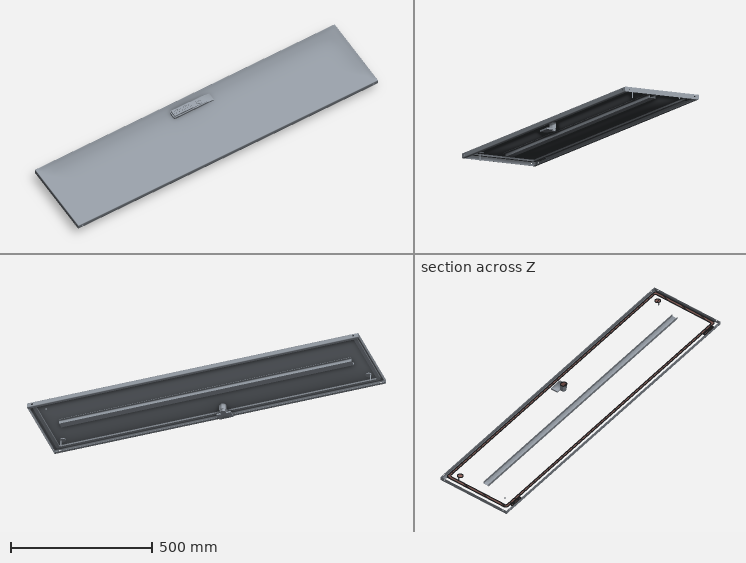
import cadquery as cq
import math


door_width = 295.0
door_length = 1246.0
door_depth = 18.0
sheet = 1.0
bend_radius = 2.5
return_width = 11.0
underside = -sheet

wall_hole_z = -8.5
end_wall_hole_diameter = 5.0
end_wall_hole_inset = 17.0
long_wall_hole_diameter = 7.5
long_wall_hole_inset = 18.9

stiffener_length = 1100.0
stiffener_flange_centre = 16.0
stiffener_flange_width = 10.0
stiffener_depth = 12.0
stiffener_bend_radius = 2.0

lock_x = -97.0
lock_y = 27.5
shank_diameter = 22.0

guide_stud_diameter = 5.0
guide_stud_y = 582.0
guide_stud_end_z = -30.0
guide_collar_diameter = 22.0
guide_collar_y = 575.0
guide_collar_end_z = -5.0
earth_stud_diameter = 4.0
earth_stud_length = 10.0
earth_stud_x = 98.5
earth_stud_y = -568.0

hinge_pad_x = 141.0
hinge_pad_y = 561.0
hinge_pad_width = 7.0
hinge_pad_length = 55.0
hinge_pad_thickness = 5.0

gasket_inset = 13.0
gasket_side_width = 10.0
gasket_end_width = 13.0
gasket_thickness = 6.0
gasket_outer_radius = 10.0
gasket_inner_radius = 5.0

overall_height = 45.51
handle_height = 13.7
lock_bottom_z = handle_height - overall_height
base_width = 33.0
base_top_y = 80.7
base_bottom_y = -84.0
base_height = 7.5
base_tip_height = 2.0
base_crest_y = 66.0
base_crest_height = 5.2
base_corner_chamfer = 3.0
lever_width = 27.0
lever_top_y = 50.5
lever_bottom_y = -80.0
lever_front_height = 8.3
lever_step_height = 11.5
lever_grip_y = -4.0
cylinder_diameter = 22.0
cylinder_height = 11.5
key_slot_width = 4.0
key_slot_length = 14.0
key_slot_depth = 2.0
rib_pitch = 5.0
rib_groove_width = 2.0
rib_groove_depth = 1.0
rib_zone_width = 16.0
rib_count = 15
lock_flange_diameter = 27.0
lock_flange_end_z = -21.5
lock_body_diameter = 25.0
hub_diameter = 23.0
cam_thickness = 6.0
cam_left_x = -133.0
cam_right_x = -104.0
cam_length = 52.5


def tray():
    """Sheet tray with rounded folds along the top rim and inward returns on the long sides."""
    middle_z = -door_depth / 2
    outer = cq.Workplane("XY").box(door_width, door_length, door_depth).translate((0, 0, middle_z))
    outer = outer.faces(">Z").edges().fillet(bend_radius)
    outer = outer.faces("<Z").edges("|Y").fillet(bend_radius)

    inner_width = door_width - 2 * sheet
    inner_length = door_length - 2 * sheet
    inner_radius = bend_radius - sheet
    cavity_depth = door_depth - 2 * sheet
    cavity = cq.Workplane("XY").box(inner_width, inner_length, cavity_depth).translate((0, 0, middle_z))
    cavity = cavity.faces(">Z").edges().fillet(inner_radius)
    cavity = cavity.faces("<Z").edges("|Y").fillet(inner_radius)

    mouth_width = door_width - 2 * return_width
    mouth = cq.Workplane("XY").box(mouth_width, inner_length, door_depth)
    mouth = mouth.translate((0, 0, underside - door_depth / 2))
    return outer.cut(cavity).cut(mouth)


def wall_holes():
    """Cutters for the round holes through all four walls, near each corner."""
    hole_x = door_width / 2 - end_wall_hole_inset
    hole_y = door_length / 2 - long_wall_hole_inset
    through_ends = (
        cq.Workplane("XZ")
        .pushPoints([(-hole_x, wall_hole_z), (hole_x, wall_hole_z)])
        .circle(end_wall_hole_diameter / 2)
        .extrude(door_length, both=True)
    )
    through_sides = (
        cq.Workplane("YZ")
        .pushPoints([(-hole_y, wall_hole_z), (hole_y, wall_hole_z)])
        .circle(long_wall_hole_diameter / 2)
        .extrude(door_width, both=True)
    )
    return through_ends.union(through_sides)


def stiffener():
    """Hat profile along Y with its two flanges flat against the underside of the leaf."""
    outer_x = stiffener_flange_centre + stiffener_flange_width / 2
    inner_wall_x = stiffener_flange_centre - stiffener_flange_width / 2
    outer_wall_x = inner_wall_x + sheet
    flange_z = underside - sheet
    crown_z = underside - stiffener_depth
    bend_x = outer_wall_x + stiffener_bend_radius
    bend_z = flange_z - stiffener_bend_radius
    bend_reach = stiffener_bend_radius * math.sqrt(0.5)
    bend_middle_x = bend_x - bend_reach
    bend_middle_z = bend_z + bend_reach
    profile = (
        cq.Workplane("XZ")
        .moveTo(-outer_x, underside)
        .lineTo(-inner_wall_x, underside)
        .lineTo(-inner_wall_x, crown_z + sheet)
        .lineTo(inner_wall_x, crown_z + sheet)
        .lineTo(inner_wall_x, underside)
        .lineTo(outer_x, underside)
        .lineTo(outer_x, flange_z)
        .lineTo(bend_x, flange_z)
        .threePointArc((bend_middle_x, bend_middle_z), (outer_wall_x, bend_z))
        .lineTo(outer_wall_x, crown_z)
        .lineTo(-outer_wall_x, crown_z)
        .lineTo(-outer_wall_x, bend_z)
        .threePointArc((-bend_middle_x, bend_middle_z), (-bend_x, flange_z))
        .lineTo(-outer_x, flange_z)
        .close()
    )
    return profile.extrude(stiffener_length / 2, both=True)


def stud(x, y, diameter, end_z):
    """Round stud hanging from the underside of the leaf down to end_z."""
    start = cq.Workplane("XY", origin=(x, y, underside))
    return start.circle(diameter / 2).extrude(end_z - underside)


def hinge_pad(y):
    pad = cq.Workplane("XY").box(hinge_pad_width, hinge_pad_length, hinge_pad_thickness)
    return pad.translate((hinge_pad_x, y, underside - hinge_pad_thickness / 2))


def lock_shank(length):
    """Round shank of the lock, starting at the outer face and running down."""
    return cq.Workplane("XY", origin=(lock_x, lock_y, 0)).circle(shank_diameter / 2).extrude(-length)


def build_door():
    door = tray().cut(wall_holes()).union(stiffener())
    for side in (-1, 1):
        door = door.union(stud(lock_x, side * guide_stud_y, guide_stud_diameter, guide_stud_end_z))
        door = door.union(stud(lock_x, side * guide_collar_y, guide_collar_diameter, guide_collar_end_z))
        door = door.union(hinge_pad(side * hinge_pad_y))
    earth_end_z = underside - earth_stud_length
    door = door.union(stud(earth_stud_x, earth_stud_y, earth_stud_diameter, earth_end_z))
    return door.cut(lock_shank(sheet))


def build_gasket():
    """Closed rectangular sealing strip against the underside of the leaf."""

    def block(side_inset, end_inset, radius):
        width = door_width - 2 * side_inset
        length = door_length - 2 * end_inset
        rectangle = cq.Workplane("XY", origin=(0, 0, underside)).rect(width, length)
        return rectangle.extrude(-gasket_thickness).edges("|Z").fillet(radius)

    outer = block(gasket_inset, gasket_inset, gasket_outer_radius)
    inner = block(gasket_inset + gasket_side_width, gasket_inset + gasket_end_width, gasket_inner_radius)
    return outer.cut(inner)


def lock_side_plane():
    """Workplane for (Y, Z) outlines, on the middle plane of the lock."""
    return cq.Workplane("YZ", origin=(lock_x, 0, 0))


def handle_base():
    """Base plate whose +Y end rises in an arc from a low tip up to the lever."""
    outline = (
        lock_side_plane()
        .moveTo(base_bottom_y, 0)
        .lineTo(base_top_y, 0)
        .lineTo(base_top_y, base_tip_height)
        .threePointArc((base_crest_y, base_crest_height), (lever_top_y, base_height))
        .lineTo(base_bottom_y, base_height)
        .close()
    )
    base = outline.extrude(base_width / 2, both=True)
    return base.edges("|Z and <Y").chamfer(base_corner_chamfer)


def lever():
    """Swing lever: sloping deck around the key cylinder, then a raised grip with cross grooves."""
    outline = [
        (lever_bottom_y, base_height),
        (lever_top_y, base_height),
        (lever_top_y, lever_front_height),
        (lever_grip_y, lever_step_height),
        (lever_grip_y, handle_height),
        (lever_bottom_y, handle_height),
    ]
    grip = lock_side_plane().polyline(outline).close().extrude(lever_width / 2, both=True)
    first_groove_y = lever_grip_y - rib_pitch / 2
    for index in range(rib_count):
        groove = cq.Workplane("XY").box(rib_zone_width, rib_groove_width, 2 * rib_groove_depth)
        grip = grip.cut(groove.translate((lock_x, first_groove_y - index * rib_pitch, handle_height)))
    return grip


def key_cylinder():
    start = cq.Workplane("XY", origin=(lock_x, lock_y, base_height))
    cylinder = start.circle(cylinder_diameter / 2).extrude(cylinder_height - base_height)
    slot = cq.Workplane("XY").box(key_slot_width, key_slot_length, 2 * key_slot_depth)
    return cylinder.cut(slot.translate((lock_x, lock_y, cylinder_height)))


def lock_mechanism():
    """Shank through the leaf, hexagonal flange, body and hub under it, and a flat cam plate."""
    cam_top_z = lock_bottom_z + cam_thickness
    body = (
        cq.Workplane("XY", origin=(lock_x, lock_y, underside))
        .polygon(6, lock_body_diameter)
        .extrude(cam_top_z - underside)
    )
    flange = (
        cq.Workplane("XY", origin=(lock_x, lock_y, underside))
        .polygon(6, lock_flange_diameter)
        .extrude(lock_flange_end_z - underside)
    )
    hub = (
        cq.Workplane("XY", origin=(lock_x, lock_y, lock_bottom_z))
        .polygon(6, hub_diameter)
        .extrude(cam_thickness)
    )
    cam_width = cam_right_x - cam_left_x
    cam_centre = ((cam_left_x + cam_right_x) / 2, lock_y, lock_bottom_z + cam_thickness / 2)
    cam = cq.Workplane("XY").box(cam_width, cam_length, cam_thickness).translate(cam_centre)
    return lock_shank(sheet).union(flange).union(body).union(hub).union(cam)


def build_lock():
    return handle_base().union(lever()).union(key_cylinder()).union(lock_mechanism())


door = build_door()
gasket = build_gasket()
lock = build_lock()

result = cq.Compound.makeCompound([door.val(), gasket.val(), lock.val()])